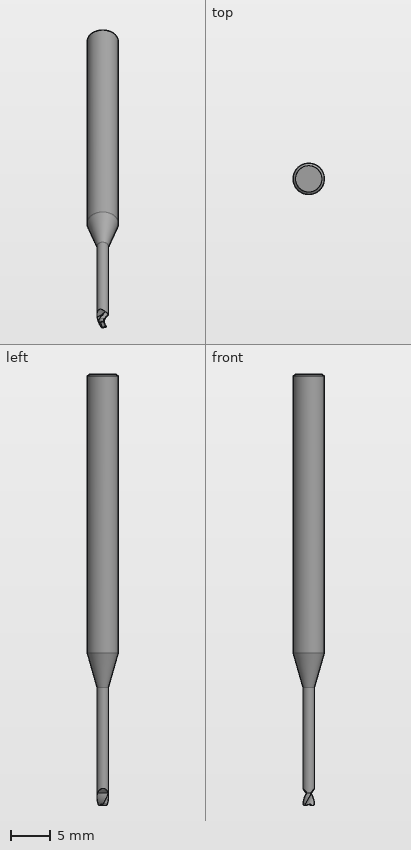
import cadquery as cq
import math

LENGTH = 55.0
SHANK_RADIUS = 2.01
NECK_RADIUS = 0.74
CONE_TOP = 19.45
CONE_BOTTOM = 15.05
CHAMFER_WIDTH = 0.35
CHAMFER_HEIGHT = 0.3

HEAD_LENGTH = 1.65
CORNER_RADIUS = 0.3
TIP_HOLLOW = 0.35
FLUTE_COUNT = 2
FLUTE_RADIUS = 2.2
HALF_WEB = 0.2
HELIX_ANGLE = 30.0
START_ANGLE = 20.0
FLUTE_OFFSET = FLUTE_RADIUS + HALF_WEB
HEAD_TWIST = math.degrees(HEAD_LENGTH * math.tan(math.radians(HELIX_ANGLE)) / NECK_RADIUS)

RUNOUT_HEIGHT = 0.55
RUNOUT_RADIUS = FLUTE_OFFSET - NECK_RADIUS


def flute_center(index, turn=0.0):
    """Centre of a flute's circle, turned by the given angle about Z."""
    angle = math.radians(START_ANGLE - 90.0 + turn + index * 360.0 / FLUTE_COUNT)
    return FLUTE_OFFSET * math.cos(angle), FLUTE_OFFSET * math.sin(angle)


def make_helical_flute(index):
    x, y = flute_center(index)
    return (
        cq.Workplane("XY")
        .center(x, y)
        .circle(FLUTE_RADIUS)
        .center(-x, -y)
        .twistExtrude(HEAD_LENGTH, HEAD_TWIST)
    )


def make_runout(index):
    """Tapering end of a flute, fading out at the neck surface."""
    x, y = flute_center(index, HEAD_TWIST)
    return cq.Workplane(
        cq.Solid.makeCone(FLUTE_RADIUS, RUNOUT_RADIUS, RUNOUT_HEIGHT, cq.Vector(x, y, HEAD_LENGTH))
    )


def make_shank():
    """Chamfered shank, cone and neck, with the flute run-outs at its lower end."""
    shank = (
        cq.Workplane("XZ")
        .moveTo(0, HEAD_LENGTH)
        .lineTo(NECK_RADIUS, HEAD_LENGTH)
        .lineTo(NECK_RADIUS, CONE_BOTTOM)
        .lineTo(SHANK_RADIUS, CONE_TOP)
        .lineTo(SHANK_RADIUS, LENGTH - CHAMFER_HEIGHT)
        .lineTo(SHANK_RADIUS - CHAMFER_WIDTH, LENGTH)
        .lineTo(0, LENGTH)
        .close()
        .revolve(360, (0, 0), (0, 1))
    )
    for index in range(FLUTE_COUNT):
        shank = shank.cut(make_runout(index))
    return shank


def make_cutting_head():
    """Two-flute head with rounded corners and a hollow end face."""
    head = (
        cq.Workplane("XZ")
        .moveTo(0, TIP_HOLLOW)
        .lineTo(NECK_RADIUS - CORNER_RADIUS, 0)
        .radiusArc((NECK_RADIUS, CORNER_RADIUS), -CORNER_RADIUS)
        .lineTo(NECK_RADIUS, HEAD_LENGTH)
        .lineTo(0, HEAD_LENGTH)
        .close()
        .revolve(360, (0, 0), (0, 1))
    )
    for index in range(FLUTE_COUNT):
        head = head.cut(make_helical_flute(index))
    return head


shank = make_shank()
cutting_head = make_cutting_head()

result = cq.Compound.makeCompound([*shank.solids().vals(), *cutting_head.solids().vals()])